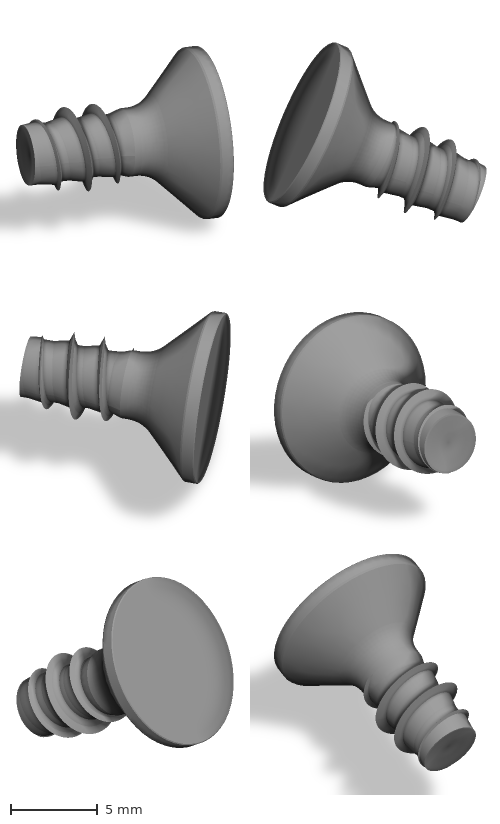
import cadquery as cq
import math

LENGTH = 11.0
HEAD_DIAMETER = 10.0
HEAD_RADIUS = HEAD_DIAMETER / 2
RIM_HEIGHT = 0.77
RIM_EDGE_BREAK = 0.05
NECK_RADIUS = 1.99
NECK_FILLET = 1.97
CONE_ANGLE = math.radians(45)
NECK_END_Y = 5.98
CORE_RADIUS = 1.75
CORE_TAPER_LENGTH = 0.77
TIP_EDGE_BREAK = 0.08
TIP_RECESS_DEPTH = 0.22

LEAD = 1.78
CREST_Y_AT_TURN_ZERO = 3.15
CREST_RADIUS = 2.52
START_TURN = -1.75
START_CREST_RADIUS = 2.09
FULL_HEIGHT_FROM = -0.5
FULL_HEIGHT_TO = 0.25
END_TURN = 1.75
END_CREST_RADIUS = 1.79
SEGMENT_TURNS = 0.25
SEGMENT_STEPS = 6

BURIED_RADIUS = 1.48
ROOT_OVERLAP = 0.04
UPPER_ROOT_OFFSET = 0.34
SHOULDER_OFFSET = 0.13
SHOULDER_HEIGHT_RATIO = 0.45
LOWER_FLANK_OFFSET = -0.22
FLARE_HEIGHT = 0.19
FLARE_LIMIT_RATIO = 0.8
FLARE_END_OFFSET = -1.09


def make_body():
    """Head, neck and core as one revolved profile."""
    rim_y = LENGTH - RIM_HEIGHT
    fillet_length = NECK_FILLET * math.sin(CONE_ANGLE)
    cone_end_radius = NECK_RADIUS + NECK_FILLET * (1 - math.cos(CONE_ANGLE))
    cone_end_y = rim_y - (HEAD_RADIUS - cone_end_radius) / math.tan(CONE_ANGLE)
    neck_start_y = cone_end_y - fillet_length
    mid_angle = CONE_ANGLE / 2
    arc_mid = (
        NECK_RADIUS + NECK_FILLET * (1 - math.cos(mid_angle)),
        neck_start_y + NECK_FILLET * math.sin(mid_angle),
    )
    profile = (
        cq.Workplane("XY")
        .lineTo(CORE_RADIUS, 0)
        .lineTo(CORE_RADIUS, NECK_END_Y - CORE_TAPER_LENGTH)
        .lineTo(NECK_RADIUS, NECK_END_Y)
        .lineTo(NECK_RADIUS, neck_start_y)
        .threePointArc(arc_mid, (cone_end_radius, cone_end_y))
        .lineTo(HEAD_RADIUS - RIM_EDGE_BREAK, rim_y - RIM_EDGE_BREAK)
        .lineTo(HEAD_RADIUS, rim_y + RIM_EDGE_BREAK)
        .lineTo(HEAD_RADIUS, LENGTH - RIM_EDGE_BREAK)
        .lineTo(HEAD_RADIUS - RIM_EDGE_BREAK, LENGTH)
        .lineTo(0, LENGTH)
        .close()
    )
    return profile.revolve(360, (0, 0, 0), (0, 1, 0))


def crest_radius(turn):
    """Crest rises at the head end, stays full, then runs out at the tip."""
    if turn < FULL_HEIGHT_FROM:
        fade = (FULL_HEIGHT_FROM - turn) / (FULL_HEIGHT_FROM - START_TURN)
        return CREST_RADIUS + fade * (START_CREST_RADIUS - CREST_RADIUS)
    if turn > FULL_HEIGHT_TO:
        fade = (turn - FULL_HEIGHT_TO) / (END_TURN - FULL_HEIGHT_TO)
        return CREST_RADIUS + fade * (END_CREST_RADIUS - CREST_RADIUS)
    return CREST_RADIUS


def thread_section(turn):
    """Corners of the thread section as (radius, axial offset from the crest)."""
    crest = crest_radius(turn)
    height = crest - CORE_RADIUS
    scale = height / (CREST_RADIUS - CORE_RADIUS)
    flare_height = min(FLARE_HEIGHT * math.sqrt(scale), FLARE_LIMIT_RATIO * height)
    upper_root = UPPER_ROOT_OFFSET * scale + ROOT_OVERLAP
    lower_flank = LOWER_FLANK_OFFSET * scale
    flare_slope = flare_height / (lower_flank - FLARE_END_OFFSET)
    flare_end = FLARE_END_OFFSET - ROOT_OVERLAP / flare_slope
    return [
        (BURIED_RADIUS, upper_root),
        (CORE_RADIUS - ROOT_OVERLAP, upper_root),
        (CORE_RADIUS + SHOULDER_HEIGHT_RATIO * height, SHOULDER_OFFSET * scale),
        (crest, 0),
        (CORE_RADIUS + flare_height, lower_flank),
        (CORE_RADIUS - ROOT_OVERLAP, flare_end),
        (BURIED_RADIUS, flare_end),
    ]


def section_points(turn):
    """Place the thread section around the Y axis."""
    angle = 2 * math.pi * turn
    crest_y = CREST_Y_AT_TURN_ZERO - LEAD * turn
    return [
        cq.Vector(radius * math.cos(angle), crest_y + offset, radius * math.sin(angle))
        for radius, offset in thread_section(turn)
    ]


def make_thread():
    """Solid bounded by ruled faces between neighbouring helical corner curves."""
    segments = round((END_TURN - START_TURN) / SEGMENT_TURNS)
    faces = []
    for segment in range(segments):
        first_turn = START_TURN + segment * SEGMENT_TURNS
        turns = [first_turn + SEGMENT_TURNS * i / SEGMENT_STEPS for i in range(SEGMENT_STEPS + 1)]
        sections = [section_points(turn) for turn in turns]
        curves = [cq.Edge.makeSpline(list(corner)) for corner in zip(*sections)]
        for i, curve in enumerate(curves):
            faces.append(cq.Face.makeRuledSurface(curve, curves[(i + 1) % len(curves)]))
    for turn in (START_TURN, END_TURN):
        faces.append(cq.Face.makeFromWires(cq.Wire.makePolygon(section_points(turn), close=True)))
    solid = cq.Solid.makeSolid(cq.Shell.makeShell(faces)).fix()
    threaded_zone = cq.Workplane("XZ").circle(HEAD_RADIUS).extrude(-NECK_END_Y)
    return cq.Workplane(obj=solid).intersect(threaded_zone)


def make_recess_cutter():
    """Shallow cone that hollows the tip face."""
    return (
        cq.Workplane("XY")
        .lineTo(CORE_RADIUS - TIP_EDGE_BREAK, 0)
        .lineTo(0, TIP_RECESS_DEPTH)
        .close()
        .revolve(360, (0, 0, 0), (0, 1, 0))
    )


result = make_body().union(make_thread(), clean=False).cut(make_recess_cutter(), clean=False)